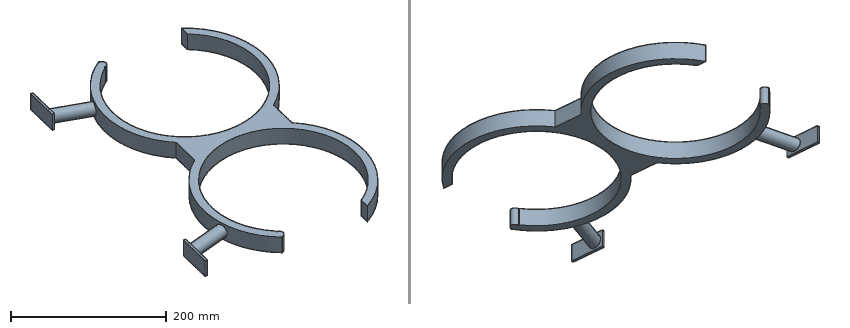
import cadquery as cq
import math

height = 25.5
overall_length = 448.0
overall_depth = 299.5

outer_radius = 122.0
wall = 12.5
inner_radius = outer_radius - wall
upper_tip_y = 61.5
tip_half_width = math.sqrt(outer_radius**2 - upper_tip_y**2)
ring_x = overall_length / 2 - tip_half_width

tip_radius = wall / 2
mid_radius = outer_radius - tip_radius
lower_tip_y = -66.5
lower_tip_x = ring_x + math.sqrt(mid_radius**2 - lower_tip_y**2)

web_depth = 149.0

plate_length = 52.5
plate_thickness = 3.5
plate_inner_x = 157.7
plate_back_y = outer_radius - overall_depth
plate_front_y = plate_back_y + plate_thickness

strut_diameter = 19.3
strut_foot_x = 170.7


def block(x_min, x_max, y_min, y_max):
    """Full-height block between the given X and Y limits."""
    return (
        cq.Workplane("XY")
        .center((x_min + x_max) / 2, (y_min + y_max) / 2)
        .rect(x_max - x_min, y_max - y_min)
        .extrude(height)
    )


def disc(x, y, radius):
    """Full-height disc."""
    return cq.Workplane("XY").center(x, y).circle(radius).extrude(height)


def strut():
    """Round bar from the plate to the middle of the ring wall."""
    foot = cq.Vector(strut_foot_x, plate_front_y, height / 2)
    ring_center = cq.Vector(ring_x, 0, height / 2)
    axis = ring_center - foot
    direction = axis.normalized()
    start = foot - direction * (strut_diameter / 2)
    length = axis.Length - mid_radius + strut_diameter / 2
    bar = cq.Workplane(cq.Solid.makeCylinder(strut_diameter / 2, length, start, direction))
    return bar.intersect(block(0, overall_length, plate_front_y, 0))


def right_half():
    """Ring, half of the web, strut and plate on the +X side."""
    body = disc(ring_x, 0, outer_radius)
    body = body.union(block(0, ring_x, -web_depth / 2, web_depth / 2))
    body = body.intersect(block(0, overall_length, -outer_radius, outer_radius))
    body = body.union(strut())
    body = body.cut(disc(ring_x, 0, inner_radius))
    body = body.cut(block(ring_x, overall_length, lower_tip_y, upper_tip_y))
    body = body.union(disc(lower_tip_x, lower_tip_y, tip_radius))
    plate = block(plate_inner_x, plate_inner_x + plate_length, plate_back_y, plate_front_y)
    return body.union(plate)


half = right_half()
result = half.union(half.mirror("YZ"))